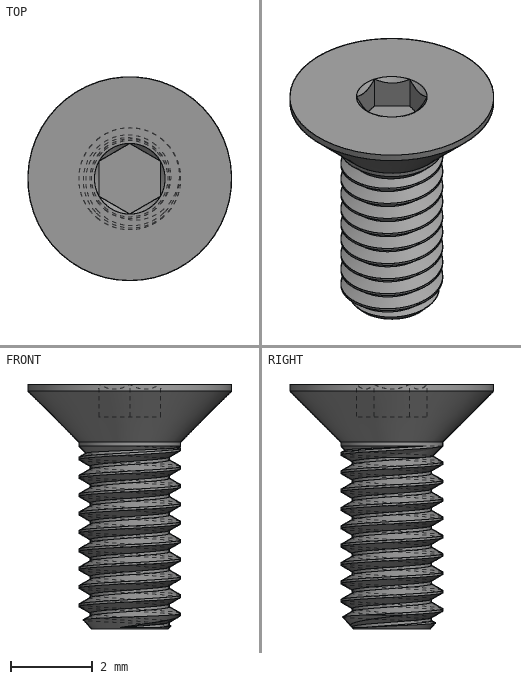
import cadquery as cq
import math

length = 6.0
head_diameter = 5.0
thread_diameter = 2.5
pitch = 0.45

rim_height = 0.165
neck_height = 0.10
head_radius = head_diameter / 2
thread_radius = thread_diameter / 2
cone_height = head_radius - thread_radius
rim_bottom = length - rim_height
cone_bottom = rim_bottom - cone_height
neck_bottom = cone_bottom - neck_height

flank_slope = math.tan(math.radians(30))
crest_width = pitch / 8
root_width = pitch / 6
thread_depth = (pitch - crest_width - root_width) / 2 / flank_slope
root_radius = thread_radius - thread_depth
groove_phase = 0.135

tip_radius = 0.935
tip_chamfer_height = 0.35

socket_across_flats = 1.5
socket_depth = 0.8
socket_corner_radius = socket_across_flats / math.sqrt(3)
socket_chamfer_depth = socket_corner_radius - socket_across_flats / 2


def revolve_about_z(profile):
    """Full solid of revolution from (radius, height) points."""
    return cq.Workplane("XZ").polyline(profile).close().revolve(360, (0, 0), (0, 1))


def make_blank():
    """Unthreaded screw as a solid of revolution."""
    profile = [
        (0, 0),
        (tip_radius, 0),
        (thread_radius, tip_chamfer_height),
        (thread_radius, cone_bottom),
        (head_radius, rim_bottom),
        (head_radius, length),
        (0, length),
    ]
    blank = revolve_about_z(profile)
    return blank.rotate((0, 0, 0), (0, 0, 1), -90)


def make_thread_groove():
    """Right-handed helical groove, faded out by a 45-degree cone under the neck."""
    overshoot = pitch / 20
    outer_radius = thread_radius + overshoot
    half_root = root_width / 2
    half_mouth = half_root + (outer_radius - root_radius) * flank_slope
    start = groove_phase - 2 * pitch
    turns = math.ceil((neck_bottom - start) / pitch) + 1
    helix = cq.Wire.makeHelix(pitch, turns * pitch, root_radius, cq.Vector(0, 0, start))
    section = [
        (root_radius, start - half_root),
        (outer_radius, start - half_mouth),
        (outer_radius, start + half_mouth),
        (root_radius, start + half_root),
    ]
    groove = cq.Workplane("XZ").polyline(section).close().sweep(cq.Workplane(helix), isFrenet=True)

    runout_apex = neck_bottom - thread_radius
    runout_radius = thread_radius + 3 * pitch
    runout_profile = [
        (0, runout_apex),
        (runout_radius, runout_apex + runout_radius),
        (0, runout_apex + runout_radius),
    ]
    runout = revolve_about_z(runout_profile)
    return groove.cut(runout)


def make_socket():
    """Hexagonal pocket, corners on the Y axis, with its conical mouth."""
    hexagon = (
        cq.Workplane("XY", origin=(0, 0, length - socket_depth))
        .transformed(rotate=(0, 0, 90))
        .polygon(6, 2 * socket_corner_radius)
        .extrude(socket_depth)
    )
    mouth_depth = 2 * socket_chamfer_depth
    mouth_bottom = length - mouth_depth
    mouth_profile = [
        (0, length),
        (socket_corner_radius, length),
        (socket_corner_radius - mouth_depth, mouth_bottom),
        (0, mouth_bottom),
    ]
    mouth = revolve_about_z(mouth_profile)
    return hexagon.union(mouth)


result = make_blank().cut(make_thread_groove()).cut(make_socket())